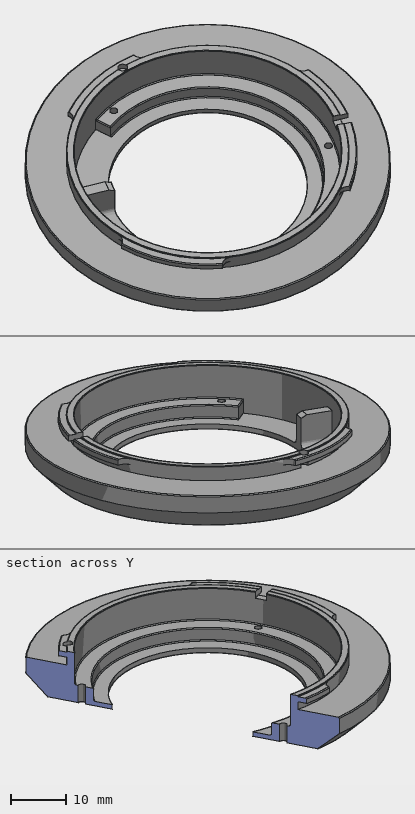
import cadquery as cq
import math

flange_radius = 33.0
foot_radius = 29.0
cone_height = 3.95
flange_height = 7.25
flange_edge_chamfer = 0.2

total_height = 10.0
collar_radius = 25.55
collar_bore_radius = 48.25 / 2
collar_chamfer = 0.1
opening_radius = 36.0 / 2
floor_height = 1.0

embed_radius = (collar_radius + collar_bore_radius) / 2

ledge_height = 3.55
ledge_inner_radius = 20.9
ledge_chamfer = 0.2
ledge_start_angle = -39.2
ledge_sweep = 180 - 2 * ledge_start_angle
screw_hole_diameter = 1.4
screw_circle_radius = 22.9
screw_hole_angles = (90, 210, 330)

tab_radius = 27.0
tab_bottom = 8.7
tab_top = 9.85
tab_chamfer = 0.2
tab_end_radius = 1.65
tab_spans = ((54.4, 119.5), (192.2, 231.3), (306.9, 347.8))
tab_slot_width = 2.2

pin_hole_diameter = 1.8
pin_hole_radius = 25.35
pin_hole_angle = 199.5

key_width = 2.1
key_fillet = 1.05
key_top = 7.25
key_nose_length = 1.1
key_nose_drop = 0.5


def polar(radius, angle):
    """Point at the given radius and angle in degrees."""
    return radius * math.cos(math.radians(angle)), radius * math.sin(math.radians(angle))


def ring(outer, inner, bottom, top):
    height = top - bottom
    return cq.Workplane("XY").workplane(offset=bottom).circle(outer).circle(inner).extrude(height)


def sector(start, end, bottom, top):
    """Triangular wedge reaching past the flange, for spans well under 180 degrees."""
    reach = 2 * flange_radius
    corners = [(0, 0), polar(reach, start), polar(reach, end)]
    return cq.Workplane("XY").workplane(offset=bottom).polyline(corners).close().extrude(top - bottom)


def revolved_arc(points):
    """Revolve (radius, height) points about Z over the arc that the ledge covers."""
    profile = cq.Workplane("XZ").polyline(points).close()
    return profile.revolve(ledge_sweep, (0, 0, 0), (0, 1, 0)).rotate((0, 0, 0), (0, 0, 1), ledge_start_angle)


def make_body():
    return (
        cq.Workplane("XZ")
        .moveTo(opening_radius, 0)
        .lineTo(foot_radius, 0)
        .lineTo(flange_radius, cone_height)
        .lineTo(flange_radius, flange_height - flange_edge_chamfer)
        .lineTo(flange_radius - flange_edge_chamfer, flange_height)
        .lineTo(collar_radius, flange_height)
        .lineTo(collar_radius, total_height - collar_chamfer)
        .lineTo(collar_radius - collar_chamfer, total_height)
        .lineTo(collar_bore_radius + collar_chamfer, total_height)
        .lineTo(collar_bore_radius, total_height - collar_chamfer)
        .lineTo(collar_bore_radius, floor_height)
        .lineTo(opening_radius, floor_height)
        .close()
        .revolve(360, (0, 0, 0), (0, 1, 0))
    )


def make_ledge():
    """Partial ring with bevelled top edges and small bevels into the floor and the wall."""
    inner = ledge_inner_radius
    wall = collar_bore_radius
    outer = embed_radius
    bevel = ledge_chamfer
    step = revolved_arc(
        [
            (outer, floor_height),
            (inner - bevel, floor_height),
            (inner, floor_height + bevel),
            (inner, ledge_height - bevel),
            (inner + bevel, ledge_height),
            (outer, ledge_height),
        ]
    )
    step = step.faces(">Z").edges("%LINE").chamfer(bevel)
    wall_bevel = revolved_arc(
        [
            (wall - bevel, ledge_height),
            (outer, ledge_height),
            (outer, ledge_height + bevel),
            (wall, ledge_height + bevel),
        ]
    )
    return step.union(wall_bevel)


def make_tab(start, end):
    """Rim segment whose ends sweep into the collar as concave arcs."""
    flare = math.degrees(tab_end_radius / tab_radius)
    tab = ring(tab_radius, collar_bore_radius + collar_chamfer, tab_bottom, tab_top)
    tab = tab.faces(">Z").edges(cq.selectors.RadiusNthSelector(1)).chamfer(tab_chamfer)
    tab = tab.intersect(sector(start - flare, end + flare, tab_bottom, tab_top))
    for angle in (start - flare, end + flare):
        x, y = polar(collar_radius + tab_end_radius, angle)
        cutter = cq.Workplane("XY").center(x, y).circle(tab_end_radius).extrude(total_height)
        tab = tab.cut(cutter)
    return tab


def make_tab_slot():
    """Radial slot through the tab and the collar wall behind it."""
    return (
        cq.Workplane("XY")
        .workplane(offset=tab_bottom)
        .center(0, flange_radius / 2)
        .rect(tab_slot_width, flange_radius)
        .extrude(total_height - tab_bottom)
    )


def make_key():
    """Radial bar with concave fillets at its foot and a sloped inner nose."""
    half = key_width / 2
    foot = half + key_fillet
    bend = key_fillet * (1 - math.sqrt(0.5))
    fillet_top = floor_height + key_fillet
    outer = embed_radius
    bar = (
        cq.Workplane("XZ")
        .moveTo(-foot, floor_height)
        .lineTo(foot, floor_height)
        .threePointArc((half + bend, floor_height + bend), (half, fillet_top))
        .lineTo(half, key_top)
        .lineTo(-half, key_top)
        .lineTo(-half, fillet_top)
        .threePointArc((-half - bend, floor_height + bend), (-foot, floor_height))
        .close()
        .extrude(outer)
    )
    bar = bar.cut(cq.Workplane("XY").circle(opening_radius).extrude(total_height))
    nose = (
        cq.Workplane("YZ")
        .moveTo(-opening_radius - key_nose_length, key_top)
        .lineTo(-opening_radius, key_top - key_nose_drop)
        .lineTo(0, key_top - key_nose_drop)
        .lineTo(0, key_top)
        .close()
        .extrude(half, both=True)
    )
    bar = bar.cut(nose)
    return bar.intersect(cq.Workplane("XY").circle(outer).extrude(total_height))


result = make_body().union(make_ledge()).union(make_key())
for span in tab_spans:
    result = result.union(make_tab(*span))
result = result.cut(make_tab_slot())

screw_points = [polar(screw_circle_radius, angle) for angle in screw_hole_angles]
screw_holes = cq.Workplane("XY").pushPoints(screw_points).circle(screw_hole_diameter / 2)
result = result.cut(screw_holes.extrude(ledge_height))

pin_plane = cq.Workplane("XY").workplane(offset=flange_height)
pin_hole = pin_plane.center(*polar(pin_hole_radius, pin_hole_angle)).circle(pin_hole_diameter / 2)
result = result.cut(pin_hole.extrude(total_height - flange_height))